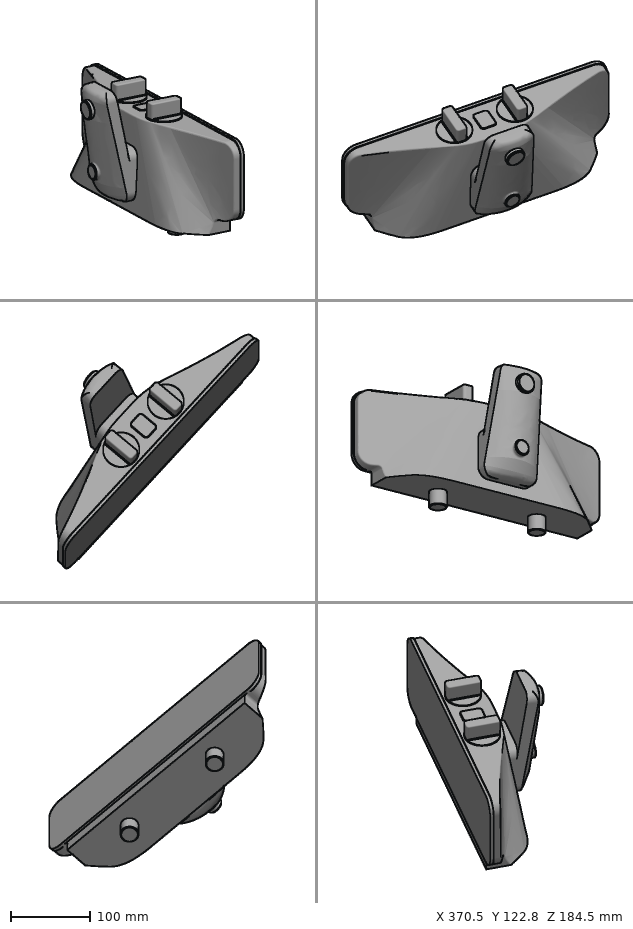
import cadquery as cq

PLATE_WIDTH = 370.5
PLATE_TOP = 125.5
PLATE_BOTTOM = 19.0
PLATE_THICKNESS = 5.0
PLATE_CORNER = 19.5
BODY_TOP = 124.0
BODY_INSET = 1.0
BASE_WIDTH = 313.5
BASE_SETBACK = 3.5
NOTCH_RADIUS = 4.0
WING_EDGE_DEPTH = 14.0
FRONT_EDGE_FILLET = 2.2
TRIM_DEPTH = 111.0

MARGIN = 0.5

TOP_FRONT = [
    (15.0, -62.3, 0.0, 0.5),
    (24.5, -62.0, 0.07, 0.8),
    (51.0, -57.0, 0.28, 0.8),
    (81.0, -46.5, 0.38, 1.2),
    (PLATE_WIDTH / 2, -WING_EDGE_DEPTH, 0.18, 2.5),
]
BOTTOM_FRONT = [
    (81.0, -74.0, 0.0, 1.2),
    (91.5, -73.7, 0.05, 1.2),
    (135.0, -60.0, 0.9, 1.0),
    (168.3, -25.0, 0.65, 0.7),
    (PLATE_WIDTH / 2, -WING_EDGE_DEPTH, 0.5, 0.5),
]
MIDDLE_SPAN = 69.3
SIDE_SPANS = [10.0, 34.0, 32.2, 40.5]

CONTROLS_Y = -31.5
KNOB_X = 42.5
KNOB_RADIUS = 23.0
KNOB_DISC_HEIGHT = 1.5
FOOT_WIDTH = 17.0
FOOT_LENGTH = 38.5
FOOT_HEIGHT = 2.5
GRIP_WIDTH = 15.0
GRIP_LENGTH = 45.2
GRIP_TOP = 146.8
GRIP_CORNER = 3.7
GRIP_TOP_FILLET = 2.0
KEY_WIDTH = 22.0
KEY_LENGTH = 29.3
KEY_CORNER = 5.0
KEY_HEIGHT = 1.0
KEY_CHAMFER = 0.7

STUB_X = 75.2
STUB_Y = -32.5
STUB_RADIUS = 11.5
STUB_LENGTH = 21.0
STUB_CHAMFER = 1.0

HANDLE_BOTTOM = 14.5
HANDLE_TOP = 163.5
HANDLE_HALF_WIDTH = (41.0, 30.5)
HANDLE_BACK_Y = (-68.5, -95.5)
HANDLE_SIDE_Y = (-82.3, -111.5)
HANDLE_CROWN = [
    (HANDLE_BOTTOM, -93.5),
    (37.0, -104.5),
    (124.5, -117.5),
    (170.5, -116.5),
]
LEVER_TOP_ROUND = 12.5
HANDLE_ROOT_Y = -55.5
LEVER_TRIM = 44.5
HANDLE_TOP_SLOPE = 0.1
NECK_TOP = 85.0
NECK_CORNER = 14.5
NECK_FRONT_Y = -81.5

BUTTON_ROOT_Y = -100.0
BUTTON_CHAMFER = 1.5
UPPER_BUTTON_Z = 136.0
UPPER_BUTTON_RADIUS = 12.5
UPPER_BUTTON_FACE_Y = -122.0
UPPER_BUTTON_TILT = 4.0
LOWER_BUTTON_Z = 51.5
LOWER_BUTTON_RADIUS = 10.5
LOWER_BUTTON_FACE_Y = -112.5
LOWER_BUTTON_COVE = 2.5


def front_outline(plane, half_outline):
    """Closed horizontal outline: straight back, straight ends and a wavy front."""
    right = half_outline
    left = [(-x, y, -slope, stretch) for x, y, slope, stretch in reversed(half_outline)]
    stations = left + right
    end_x, end_y, _, _ = right[-1]
    outline = plane.moveTo(end_x, end_y).lineTo(end_x, 0).lineTo(-end_x, 0).lineTo(-end_x, end_y)
    spans = SIDE_SPANS[::-1] + [MIDDLE_SPAN] + SIDE_SPANS
    for start, end, span in zip(stations, stations[1:], spans):
        x0, y0, slope0, stretch0 = start
        x1, y1, slope1, stretch1 = end
        lead = stretch0 * span / 3
        trail = stretch1 * span / 3
        outline = outline.bezier([
            (x0, y0),
            (x0 + lead, y0 + slope0 * lead),
            (x1 - trail, y1 - slope1 * trail),
            (x1, y1),
        ])
    return outline.wire()


def ruled_block():
    bottom = front_outline(cq.Workplane("XY"), BOTTOM_FRONT).val()
    top = front_outline(cq.Workplane("XY").workplane(offset=BODY_TOP), TOP_FRONT).val()
    return cq.Workplane(cq.Solid.makeLoft([bottom, top], True))


def upright_panel(width, bottom, top, back, front):
    panel = cq.Workplane("XY", origin=(0, front, bottom))
    return panel.box(width, back - front, top - bottom, centered=(True, False, False))


def make_body():
    """Ruled block trimmed to the silhouette of the wings and the narrower base."""
    corner = PLATE_CORNER - BODY_INSET
    wings = upright_panel(PLATE_WIDTH - 2 * BODY_INSET, PLATE_BOTTOM, BODY_TOP, 0, -TRIM_DEPTH)
    wings = wings.edges("|Y").fillet(corner)
    base = upright_panel(BASE_WIDTH, 0, BODY_TOP, 0, -TRIM_DEPTH)
    silhouette = wings.union(base)
    notch = cq.selectors.BoxSelector(
        (-BASE_WIDTH / 2 - MARGIN, -TRIM_DEPTH - MARGIN, PLATE_BOTTOM - MARGIN),
        (BASE_WIDTH / 2 + MARGIN, MARGIN, PLATE_BOTTOM + MARGIN),
    )
    silhouette = silhouette.edges("|Y").edges(notch).fillet(NOTCH_RADIUS)
    body = ruled_block().intersect(silhouette)
    body = body.faces(">Z").edges("<Y").fillet(FRONT_EDGE_FILLET)
    setback = upright_panel(PLATE_WIDTH, 0, PLATE_BOTTOM, 0, -BASE_SETBACK)
    return body.cut(setback)


def make_plate():
    plate = upright_panel(PLATE_WIDTH, PLATE_BOTTOM, PLATE_TOP, 0, -PLATE_THICKNESS)
    return plate.edges("|Y").fillet(PLATE_CORNER)


def make_knob(x):
    """Thin disc that carries an upright grip bar on a slightly wider foot."""
    base = cq.Workplane("XY").workplane(offset=BODY_TOP).center(x, CONTROLS_Y)
    disc = base.circle(KNOB_RADIUS).extrude(KNOB_DISC_HEIGHT)
    grip = base.rect(GRIP_WIDTH, GRIP_LENGTH).extrude(GRIP_TOP - BODY_TOP)
    grip = grip.edges("|Z").fillet(GRIP_CORNER).faces(">Z").edges().fillet(GRIP_TOP_FILLET)
    foot = base.rect(FOOT_WIDTH, FOOT_LENGTH).extrude(FOOT_HEIGHT)
    return disc.union(foot).union(grip)


def make_key():
    key = cq.Workplane("XY").workplane(offset=BODY_TOP).center(0, CONTROLS_Y)
    key = key.rect(KEY_WIDTH, KEY_LENGTH).extrude(KEY_HEIGHT).edges("|Z").fillet(KEY_CORNER)
    return key.faces(">Z").chamfer(KEY_CHAMFER)


def make_stub(x):
    stub = cq.Workplane("XY").center(x, STUB_Y).circle(STUB_RADIUS).extrude(-STUB_LENGTH)
    return stub.faces("<Z").chamfer(STUB_CHAMFER)


def handle_line(ends, z):
    """Value at height z of a line given by its values at the bottom and top of the handle."""
    bottom, top = ends
    return bottom + (top - bottom) * (z - HANDLE_BOTTOM) / (HANDLE_TOP - HANDLE_BOTTOM)


def handle_section(z, crown_y):
    """Horizontal section of the handle: flat back and sides with an arched front."""
    half_width = handle_line(HANDLE_HALF_WIDTH, z)
    side_y = handle_line(HANDLE_SIDE_Y, z)
    section = cq.Workplane("XY").workplane(offset=z).moveTo(half_width, side_y)
    section = section.lineTo(half_width, HANDLE_ROOT_Y).lineTo(-half_width, HANDLE_ROOT_Y)
    section = section.lineTo(-half_width, side_y)
    return section.threePointArc((0, crown_y), (half_width, side_y)).wire().val()


def make_lever():
    """Leaning handle with a crowned front, rounded ends and a flat back."""
    sections = [handle_section(z, crown_y) for z, crown_y in HANDLE_CROWN]
    crowned = cq.Workplane(cq.Solid.makeLoft(sections, True))
    back_bottom, back_top = HANDLE_BACK_Y
    front = back_top - LEVER_TRIM
    sloped_top = (
        cq.Workplane("YZ")
        .polyline([
            (0, HANDLE_BOTTOM),
            (0, HANDLE_TOP - HANDLE_TOP_SLOPE * back_top),
            (back_top, HANDLE_TOP),
            (front, HANDLE_TOP - HANDLE_TOP_SLOPE * LEVER_TRIM),
            (front, HANDLE_BOTTOM),
        ])
        .close()
        .extrude(LEVER_TRIM, both=True)
    )
    lever = crowned.intersect(sloped_top)
    lever = lever.faces(">Z").edges("not >Y").fillet(LEVER_TOP_ROUND)
    lever = lever.faces("<Z").edges("not >Y").fillet(NECK_CORNER)
    in_front_of_back = (
        cq.Workplane("YZ")
        .polyline([
            (back_bottom, HANDLE_BOTTOM),
            (back_top, HANDLE_TOP),
            (front, HANDLE_TOP),
            (front, HANDLE_BOTTOM),
        ])
        .close()
        .extrude(LEVER_TRIM, both=True)
    )
    return lever.intersect(in_front_of_back)


def make_neck():
    """Rounded block that joins the lower half of the handle to the body."""
    low = HANDLE_HALF_WIDTH[0]
    high = handle_line(HANDLE_HALF_WIDTH, NECK_TOP)
    neck = cq.Workplane("XZ", origin=(0, HANDLE_ROOT_Y, 0)).polyline(
        [(-low, HANDLE_BOTTOM), (low, HANDLE_BOTTOM), (high, NECK_TOP), (-high, NECK_TOP)]
    )
    neck = neck.close().extrude(HANDLE_ROOT_Y - NECK_FRONT_Y)
    return neck.edges("|Y").fillet(NECK_CORNER)


def make_button(z, radius, face_y):
    button = cq.Workplane("XZ", origin=(0, BUTTON_ROOT_Y, z)).circle(radius).extrude(BUTTON_ROOT_Y - face_y)
    return button.faces("<Y").chamfer(BUTTON_CHAMFER)


def make_upper_button():
    """Button tilted slightly about the horizontal line across its face."""
    button = make_button(UPPER_BUTTON_Z, UPPER_BUTTON_RADIUS, UPPER_BUTTON_FACE_Y)
    axis_start = (0, UPPER_BUTTON_FACE_Y, UPPER_BUTTON_Z)
    axis_end = (1, UPPER_BUTTON_FACE_Y, UPPER_BUTTON_Z)
    return button.rotate(axis_start, axis_end, UPPER_BUTTON_TILT)


def make_handle():
    """Lever and neck with the lower button blended into the lever by a cove."""
    button = make_button(LOWER_BUTTON_Z, LOWER_BUTTON_RADIUS, LOWER_BUTTON_FACE_Y)
    handle = make_neck().union(make_lever()).union(button)
    reach = LOWER_BUTTON_RADIUS + MARGIN
    around_button = cq.selectors.BoxSelector(
        (-reach, LOWER_BUTTON_FACE_Y + BUTTON_CHAMFER + MARGIN, LOWER_BUTTON_Z - reach),
        (reach, BUTTON_ROOT_Y, LOWER_BUTTON_Z + reach),
        boundingbox=True,
    )
    return handle.edges(around_button).edges("not %LINE").fillet(LOWER_BUTTON_COVE)


result = make_body().union(make_plate()).union(make_key())
for side in (-1, 1):
    result = result.union(make_knob(side * KNOB_X)).union(make_stub(side * STUB_X))
result = result.union(make_handle()).union(make_upper_button())